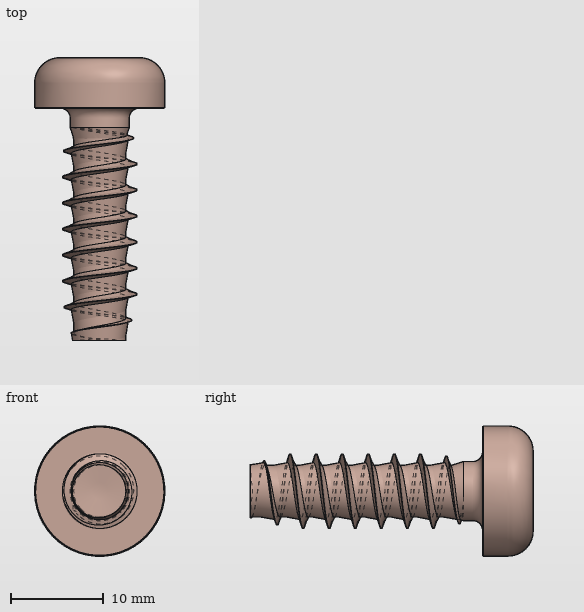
import cadquery as cq
import math


total_length = 30.6
head_radius = 7.05
head_height = 5.5
crown_radius = 2.75
head_edge_chamfer = 0.12
tip_depth = total_length - head_height

shank_radius = 3.2
neck_fillet = 1.0
shank_end_depth = 2.05
lead_cone_end_depth = 3.5
lead_cone_end_radius = 2.75

dimple_radius = 2.7
dimple_depth = 0.25

pitch = 2.8
core_radius = 2.8
ridge_radius = 3.1
taper_end_offset = 1.75

crest_radius = 4.05
crest_half_width = 0.03
knee_radius = 3.45
knee_offset = 0.2
upper_foot_offset = 0.55
lower_foot_offset = 0.3

crest_start_depth = -1.75
turn_count = 10
rise_end_depth = 5.2
rise_slope = 0.18
sink_start_depth = 20.8
sink_slope = 0.27
smallest_step = 0.03
points_per_turn = 16


def crest_radius_at(crest_depth):
    """Radius of the crest along its run, kept just above the core."""
    rise_drop = rise_slope * max(0.0, rise_end_depth - crest_depth)
    sink_drop = sink_slope * max(0.0, crest_depth - sink_start_depth)
    return max(crest_radius - rise_drop - sink_drop, core_radius + 2 * smallest_step)


def thread_profile(crest_depth):
    """(radius, axial offset from the crest) of the corners from one tooth to the next."""
    crest = crest_radius_at(crest_depth)
    ridge = min(ridge_radius, crest - smallest_step)
    size = (crest - ridge) / (crest_radius - ridge_radius)
    knee = ridge + size * (knee_radius - ridge_radius)
    return [
        (core_radius, -size * upper_foot_offset),
        (knee, -size * knee_offset),
        (crest, -size * crest_half_width),
        (crest, size * crest_half_width),
        (ridge, size * lower_foot_offset),
        (core_radius, taper_end_offset),
    ]


def helix_point(corner, turns):
    """Position of a profile corner after a number of turns, counted from +Z towards -X."""
    crest_depth = crest_start_depth + pitch * turns
    radius, offset = thread_profile(crest_depth)[corner]
    angle = 2 * math.pi * turns
    return cq.Vector(-radius * math.sin(angle), -crest_depth - offset, radius * math.cos(angle))


def helix_edge(corner, turn):
    """Curve followed by a profile corner during one turn."""
    steps = range(points_per_turn + 1)
    return cq.Edge.makeSpline([helix_point(corner, turn + step / points_per_turn) for step in steps])


def axis_point(point):
    return cq.Vector(0, point.y, 0)


def end_faces(edge, corners):
    """Close one end of the helical skin: a helicoid down to the axis and a radial flat."""
    axis_edge = cq.Edge.makeLine(axis_point(edge.startPoint()), axis_point(edge.endPoint()))
    outline = corners + [axis_point(corners[-1]), axis_point(corners[0])]
    flat = cq.Face.makeFromWires(cq.Wire.makePolygon(outline, close=True))
    return [cq.Face.makeRuledSurface(edge, axis_edge), flat]


def make_threaded_core():
    """Core and thread as one solid bounded by helical strips, longer than needed at both ends."""
    corner_count = len(thread_profile(crest_start_depth))
    edges = [helix_edge(c, turn) for turn in range(turn_count) for c in range(corner_count)]
    edges.append(helix_edge(0, turn_count))

    faces = [cq.Face.makeRuledSurface(a, b) for a, b in zip(edges, edges[1:])]
    first_corners = [edge.startPoint() for edge in edges[:corner_count + 1]]
    last_corners = [edge.endPoint() for edge in edges[-corner_count - 1:]]
    faces += end_faces(edges[0], first_corners)
    faces += end_faces(edges[-1], last_corners)
    solid = cq.Solid.makeSolid(cq.Shell.makeShell(faces))
    return cq.Workplane(solid.fix())


def make_thread_envelope():
    """Turned blank from the end of the shank to the dimpled tip, clear of the crests."""
    return (
        cq.Workplane("ZY")
        .moveTo(0, -shank_end_depth)
        .lineTo(head_radius, -shank_end_depth)
        .lineTo(head_radius, -tip_depth)
        .lineTo(dimple_radius, -tip_depth)
        .lineTo(0, dimple_depth - tip_depth)
        .close()
        .revolve(360, (0, 0, 0), (0, 1, 0))
    )


def make_head_and_shank():
    """Head, neck fillet, shank and lead cone as one turned profile."""
    crown_center_radius = head_radius - crown_radius
    crown_center_height = head_height - crown_radius
    crown_mid = crown_radius * math.sqrt(0.5)
    fillet_mid = neck_fillet * (1 - math.sqrt(0.5))
    return (
        cq.Workplane("ZY")
        .moveTo(0, head_height)
        .lineTo(crown_center_radius, head_height)
        .threePointArc(
            (crown_center_radius + crown_mid, crown_center_height + crown_mid),
            (head_radius, crown_center_height),
        )
        .lineTo(head_radius, head_edge_chamfer)
        .lineTo(head_radius - head_edge_chamfer, 0)
        .lineTo(shank_radius + neck_fillet, 0)
        .threePointArc(
            (shank_radius + fillet_mid, -fillet_mid),
            (shank_radius, -neck_fillet),
        )
        .lineTo(shank_radius, -shank_end_depth)
        .lineTo(lead_cone_end_radius, -lead_cone_end_depth)
        .lineTo(0, -lead_cone_end_depth)
        .close()
        .revolve(360, (0, 0, 0), (0, 1, 0))
    )


threaded_core = make_threaded_core().intersect(make_thread_envelope())
result = make_head_and_shank().union(threaded_core)